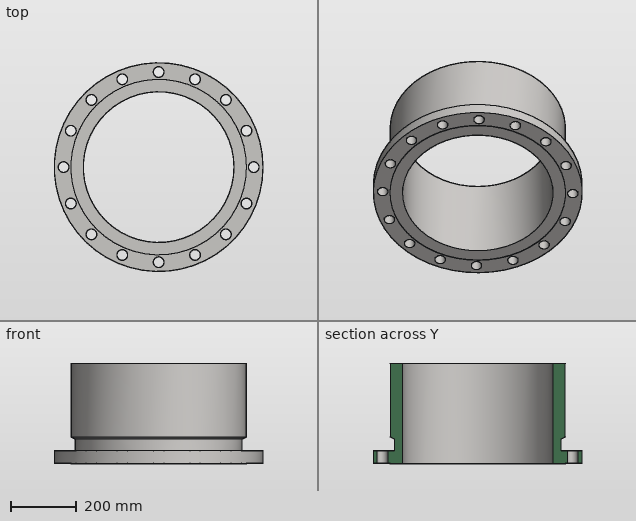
import cadquery as cq

total_height = 304.8
bore_diameter = 457.2

flange_diameter = 635.0
raised_face_diameter = 533.4
raised_face_height = 1.6
flange_top = 39.7

bolt_count = 16
bolt_circle_diameter = 577.85
bolt_hole_diameter = 31.75

neck_diameter = 508.0
neck_top = 74.6
barrel_diameter = 533.4
barrel_bottom = 81.0


def revolved_body():
    """Ring-shaped body revolved about Z from its half section."""
    bore_radius = bore_diameter / 2
    raised_face_radius = raised_face_diameter / 2
    flange_radius = flange_diameter / 2
    neck_radius = neck_diameter / 2
    barrel_radius = barrel_diameter / 2
    section = [
        (bore_radius, 0),
        (raised_face_radius, 0),
        (raised_face_radius, raised_face_height),
        (flange_radius, raised_face_height),
        (flange_radius, flange_top),
        (neck_radius, flange_top),
        (neck_radius, neck_top),
        (barrel_radius, barrel_bottom),
        (barrel_radius, total_height),
        (bore_radius, total_height),
    ]
    axis_start = (0, 0)
    axis_end = (0, 1)
    return cq.Workplane("XZ").polyline(section).close().revolve(360, axis_start, axis_end)


def bolt_holes():
    """Evenly spaced cylinders through the flange, the first one on the +X axis."""
    return (
        cq.Workplane("XY")
        .polarArray(bolt_circle_diameter / 2, 0, 360, bolt_count)
        .circle(bolt_hole_diameter / 2)
        .extrude(flange_top)
    )


result = revolved_body().cut(bolt_holes())